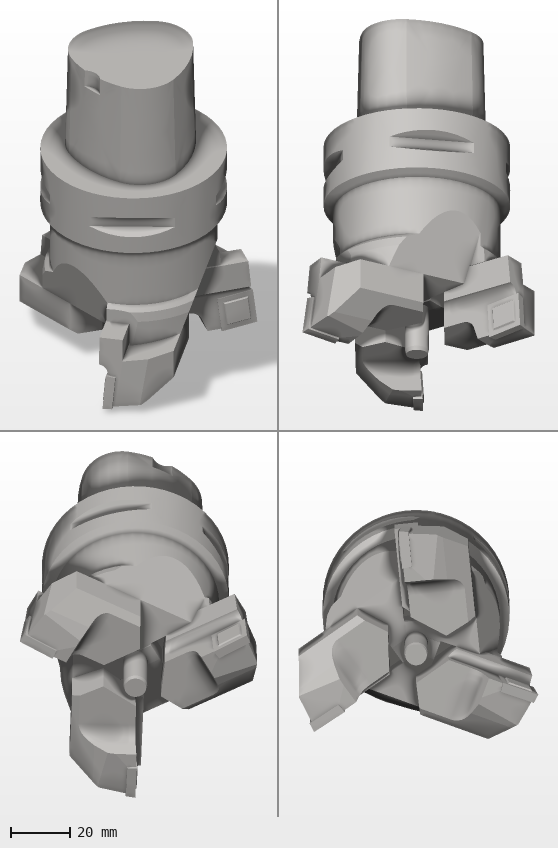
import cadquery as cq
import math


BIG = 200.0


def tan_degrees(angle):
    return math.tan(math.radians(angle))


shank_length = 38.0
shank_apex = 23.45
shank_flat = 20.4
side_radius = 37.5
side_half_angle = 19.3
shank_taper = 1.432
lobe_angles = (90, 210, 330)
side_offset = 60
notch_radius = 5.5
notch_floor = 17.9
notch_height = 6.3

flange_radius = 63.0 / 2
flange_rim_z = -22.0
neck_radius = 56.5 / 2
neck_top_z = -24.0
neck_bottom_z = -45.0
collar_top_radius = 30.1
collar_top_z = -46.9
collar_radius = 30.8
collar_rim_z = -50.2
body_bottom_z = -60.0
pin_radius = 8.01 / 2
pin_root_z = -57.0
pin_bottom_z = -76.9
pin_chamfer = 0.35
pin_chamfer_height = 1.4

groove_z = -11.75
groove_flat = 28.0
groove_floor_height = 3.7
groove_slope = tan_degrees(30.0)
groove_angles = (45, 135, 225, 315)

cassette_turns = (0, -116, 124)
next_turns = cassette_turns[-1:] + cassette_turns[:-1]
cassette_reach = 50.0
post_top_z = -51.7
post_front_y = 3.3
post_back_y = -4.7
back_y = -21.0
back_top_z = -57.6
back_bottom_z = -68.2
heel_y = -13.0
heel_z = -75.2
foot_y = -8.0
cassette_bottom_z = -78.35
seat_slope = tan_degrees(7.7)
seat_front_z = back_top_z - (post_back_y - back_y) * seat_slope
nose_x = -4.0
nose_y = -10.7
back_end_x = -9.3
rake_end_x = -13.4
relief_top_z = -62.0
relief_radius = 3.0
rake_lean = 4.0
rake_y = post_front_y - relief_radius
rake_z = relief_top_z - relief_radius
rake_foot_y = rake_y + (rake_z - cassette_bottom_z) * tan_degrees(rake_lean)
arch_z = -70.4
arch_radius = 5.0
arch_corner_x = -22.8
arch_foot_x = -25.8

post_face = ((-39.6, 0, post_top_z), (-1, 0, tan_degrees(5.5)))
flank_face = ((-40.4, post_back_y, seat_front_z), (-1, -0.15, 0.078))
corner_face = ((-33.65, back_y, 0), (-1, -0.70, 0))
bottom_face = ((-42.3, -2.0, -77.15), (-0.1, -0.115, -1))

slot_gap = 0.3
slot_inner_x = -7.6
wall_y = 3.0
collar_flat = 29.8
collar_flat_slope = tan_degrees(2.5)
gullet_slope = tan_degrees(17.8)

insert_side = 12.7
insert_thickness = 3.2
insert_back_side = insert_side - 2 * insert_thickness * tan_degrees(7.0)
insert_turn = 6.0
insert_x = -36.42
insert_z = -72.27
insert_proud = 0.3
insert_y = rake_y + (rake_z - insert_z) * tan_degrees(rake_lean) + insert_proud
land_side = 8.8
land_top_side = 8.0
land_height = 0.5
screw_radius = 5.4 / 2
seat_gap = 0.15

insert_plane = cq.Plane(
    origin=(insert_x, insert_y, insert_z),
    xDir=(1, 0, 0),
    normal=(0, math.cos(math.radians(rake_lean)), math.sin(math.radians(rake_lean))),
).rotated((0, 0, insert_turn))


def point_on_circle(radius, angle, center=(0, 0)):
    turn = math.radians(angle)
    return (center[0] + radius * math.cos(turn), center[1] + radius * math.sin(turn))


def rotate_z(shape, angle):
    return shape.rotate((0, 0, 0), (0, 0, 1), angle)


def half_space(point, normal):
    """Large block that starts at a point and fills the side the normal points to."""
    return cq.Workplane(cq.Plane(origin=point, normal=normal)).rect(2 * BIG, 2 * BIG).extrude(BIG)


def revolve_profile(points):
    """Revolve a profile of (radius, z) points about Z."""
    return cq.Workplane("XZ").polyline(points).close().revolve(360, (0, 0, 0), (0, 1, 0))


def side_point(side, angle):
    """Point on the side arc whose middle is at `side` degrees; `angle` is measured from that middle."""
    center = point_on_circle(side_radius - shank_flat, side + 180)
    return point_on_circle(side_radius, side + angle, center)


def make_shank():
    outline = cq.Workplane("XY").moveTo(*side_point(lobe_angles[0] - side_offset, side_half_angle))
    for lobe in lobe_angles:
        side = lobe + side_offset
        crown = point_on_circle(shank_apex, lobe)
        outline = outline.threePointArc(crown, side_point(side, -side_half_angle))
        outline = outline.threePointArc(side_point(side, 0), side_point(side, side_half_angle))
    shank = outline.close().extrude(shank_length, taper=shank_taper)
    notch = (
        cq.Workplane("XY", origin=(0, -(notch_floor + notch_radius), shank_length - notch_height))
        .circle(notch_radius)
        .extrude(2 * notch_height)
    )
    return shank.cut(notch)


def make_turned_body():
    return revolve_profile([
        (0, 0),
        (flange_radius, 0),
        (flange_radius, flange_rim_z),
        (neck_radius, neck_top_z),
        (neck_radius, neck_bottom_z),
        (collar_top_radius, collar_top_z),
        (collar_radius, collar_rim_z),
        (collar_radius, body_bottom_z),
        (0, body_bottom_z),
    ])


def make_pin():
    return revolve_profile([
        (0, pin_root_z),
        (pin_radius, pin_root_z),
        (pin_radius, pin_bottom_z + pin_chamfer_height),
        (pin_radius - pin_chamfer, pin_bottom_z),
        (0, pin_bottom_z),
    ])


def make_groove():
    """Straight V-groove with a flat floor, across the +X side of the flange."""
    depth = flange_radius - groove_flat + 1.0
    half_floor = groove_floor_height / 2
    half_mouth = half_floor + depth * groove_slope
    profile = [
        (groove_flat, groove_z - half_floor),
        (groove_flat + depth, groove_z - half_mouth),
        (groove_flat + depth, groove_z + half_mouth),
        (groove_flat, groove_z + half_floor),
    ]
    return cq.Workplane("XZ").polyline(profile).close().extrude(flange_radius, both=True)


def make_gullet(next_turn):
    """Chip space behind the first cassette, ending at the rake-side wall of the next cassette."""
    corner = (0, back_y, back_top_z)
    behind = half_space(corner, (0, -1, -gullet_slope))
    below = half_space(corner, (0, -seat_slope, -1))
    rake_side = rotate_z(half_space((0, wall_y, 0), (0, 1, 0)), next_turn)
    under_flange = half_space((0, 0, neck_top_z), (0, 0, -1))
    return behind.union(below).intersect(rake_side).intersect(under_flange)


def make_post_slot():
    back = post_back_y - slot_gap
    top = post_top_z + slot_gap
    slot = cq.Workplane("XY").box(BIG, post_front_y - back, BIG, centered=False)
    return slot.translate((slot_inner_x - BIG, back, top - BIG))


def make_collar_flat():
    """Flat on the collar above the post."""
    outside = half_space((-collar_flat, 0, collar_rim_z), (-1, 0, collar_flat_slope))
    return outside.intersect(half_space((0, 0, neck_bottom_z), (0, 0, -1)))


def make_body():
    body = make_turned_body().union(make_shank())
    for angle in groove_angles:
        body = body.cut(rotate_z(make_groove(), angle))
    for turn, next_turn in zip(cassette_turns, next_turns):
        body = body.cut(rotate_z(make_gullet(next_turn - turn), turn))
        body = body.cut(rotate_z(make_post_slot(), turn))
        body = body.cut(rotate_z(make_collar_flat(), turn))
    return body.union(make_pin())


def square_frustum(start, start_side, end, end_side):
    """Frustum between two heights above the rake face."""
    return (
        cq.Workplane(insert_plane)
        .workplane(offset=start)
        .rect(start_side, start_side)
        .workplane(offset=end - start)
        .rect(end_side, end_side)
        .loft(ruled=True)
    )


def make_insert_blank():
    return square_frustum(-insert_thickness, insert_back_side, 0, insert_side)


def make_screw():
    """Screw that fills the hole of the insert, flush with the raised land."""
    return (
        cq.Workplane(insert_plane)
        .workplane(offset=-insert_thickness)
        .circle(screw_radius)
        .extrude(insert_thickness + land_height)
    )


def make_insert():
    land = square_frustum(0, land_side, land_height, land_top_side)
    return make_insert_blank().union(land).cut(make_screw())


def make_cassette_blank():
    relief_middle = point_on_circle(relief_radius, 135, (post_front_y, rake_z))
    side = (
        cq.Workplane("YZ")
        .moveTo(post_back_y, post_top_z)
        .lineTo(post_front_y, post_top_z)
        .lineTo(post_front_y, relief_top_z)
        .threePointArc(relief_middle, (rake_y, rake_z))
        .lineTo(rake_foot_y, cassette_bottom_z)
        .lineTo(foot_y, cassette_bottom_z)
        .lineTo(heel_y, heel_z)
        .lineTo(back_y, back_bottom_z)
        .lineTo(back_y, back_top_z)
        .lineTo(post_back_y, seat_front_z)
        .close()
        .extrude(-cassette_reach)
    )
    plan = [
        (rake_end_x, post_front_y),
        (nose_x, nose_y),
        (back_end_x, back_y),
        (-cassette_reach, back_y),
        (-cassette_reach, post_front_y),
    ]
    plan_prism = (
        cq.Workplane("XY", origin=(0, 0, cassette_bottom_z))
        .polyline(plan)
        .close()
        .extrude(post_top_z - cassette_bottom_z)
    )
    return side.intersect(plan_prism)


def make_arch():
    """Clearance under the inner part of a cassette."""
    profile = [
        (0, arch_z),
        (arch_corner_x, arch_z),
        (arch_foot_x, cassette_bottom_z),
        (0, cassette_bottom_z),
    ]
    corner = cq.selectors.NearestToPointSelector((arch_corner_x, 0, arch_z))
    arch = cq.Workplane("XZ").polyline(profile).close().extrude(-2 * back_y, both=True)
    return arch.edges(corner).fillet(arch_radius)


def make_seat_gap():
    """Narrow gap between the upper edge of the insert and the cassette."""
    upper_edge = cq.Workplane(insert_plane).center(0, -insert_side / 2)
    return upper_edge.rect(insert_side, 2 * seat_gap).extrude(-insert_thickness)


def make_cassette():
    cassette = make_cassette_blank()
    for point, normal in (post_face, flank_face, corner_face, bottom_face):
        cassette = cassette.cut(half_space(point, normal))
    cassette = cassette.cut(make_arch())
    cassette = cassette.cut(make_insert_blank()).cut(make_seat_gap())
    return cassette.union(make_screw())


body = make_body()
cassettes = [rotate_z(make_cassette(), turn) for turn in cassette_turns]
inserts = [rotate_z(make_insert(), turn) for turn in cassette_turns]

solids = []
for part in [body] + cassettes + inserts:
    solids.extend(part.solids().vals())
result = cq.Compound.makeCompound(solids)